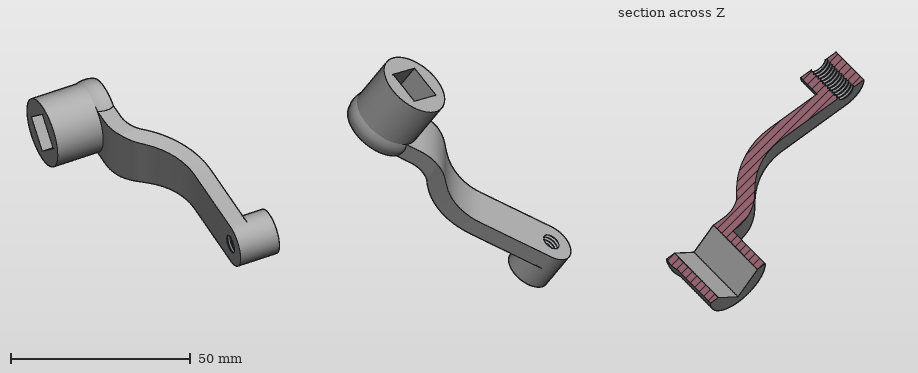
import cadquery as cq
import math

hub_diameter = 20.0
hub_length = 14.0
collar_diameter = 21.0
square_side = 10.0

arm_thickness = 5.0
arm_offset = 14.0
arm_length = 63.0
root_half_width = 7.8
joint_half_width = 8.0
tip_half_width = 6.5

bend_start_x = 11.0
bend_end_x = 39.6
front_root_radius = 15.0
front_tip_radius = 21.0
back_root_radius = front_root_radius - arm_thickness
joint_x = 17.8

boss_diameter = 2 * tip_half_width
boss_length = 12.0
thread_pitch = 1.0
thread_minor_diameter = 5.0
thread_major_diameter = 6.0

collar_back_y = hub_length + arm_thickness
tip_front_y = hub_length + arm_offset
tip_back_y = tip_front_y + arm_thickness
boss_back_y = tip_front_y + boss_length


def make_hub():
    """Plain cylinder with a barrel-shaped collar behind it."""
    hub_radius = hub_diameter / 2
    collar_middle_y = hub_length + arm_thickness / 2
    return (
        cq.Workplane("XY")
        .lineTo(hub_radius, 0)
        .lineTo(hub_radius, hub_length)
        .threePointArc((collar_diameter / 2, collar_middle_y), (hub_radius, collar_back_y))
        .lineTo(0, collar_back_y)
        .close()
        .revolve(360, (0, 0, 0), (0, 1, 0))
    )


def point_on_circle(center, radius, angle):
    """Point at an angle, in radians, measured from the +X direction."""
    return (center[0] + radius * math.cos(angle), center[1] + radius * math.sin(angle))


def make_arm_bend():
    """S-shaped bar of the arm, extruded to the full hub width."""
    root_center = (bend_start_x, hub_length + front_root_radius)
    tip_center = (bend_end_x, tip_front_y - front_tip_radius)

    center_dx = tip_center[0] - root_center[0]
    center_dy = tip_center[1] - root_center[1]
    radius_sum = front_root_radius + front_tip_radius
    center_angle = math.atan2(center_dy, center_dx)
    tangent_angle = center_angle - math.acos(radius_sum / math.hypot(center_dx, center_dy))
    root_tangent = point_on_circle(root_center, front_root_radius, tangent_angle)
    tip_tangent = point_on_circle(tip_center, front_tip_radius, tangent_angle + math.pi)

    joint_dx = joint_x - bend_start_x
    joint_y = root_center[1] - math.sqrt(back_root_radius**2 - joint_dx**2)

    return (
        cq.Workplane("XY")
        .moveTo(0, hub_length)
        .lineTo(bend_start_x, hub_length)
        .tangentArcPoint(root_tangent, relative=False)
        .lineTo(*tip_tangent)
        .tangentArcPoint((bend_end_x, tip_front_y), relative=False)
        .lineTo(arm_length, tip_front_y)
        .lineTo(arm_length, tip_back_y)
        .lineTo(bend_end_x, tip_back_y)
        .tangentArcPoint((joint_x, joint_y), relative=False)
        .radiusArc((bend_start_x, collar_back_y), back_root_radius)
        .lineTo(0, collar_back_y)
        .close()
        .extrude(hub_diameter / 2, both=True)
    )


def make_arm_outline():
    """Block with the XZ outline of the arm: wide at the hub, curving in to the tip."""
    upper_half = (
        cq.Workplane("XZ")
        .moveTo(arm_length, 0)
        .lineTo(arm_length, tip_half_width)
        .lineTo(bend_end_x, tip_half_width)
        .tangentArcPoint((joint_x, joint_half_width), relative=False)
        .lineTo(0, root_half_width)
        .lineTo(0, 0)
        .close()
        .extrude(-boss_back_y)
    )
    return upper_half.union(upper_half.mirror("XY"))


def make_square_hole():
    """Square socket through hub and collar, standing on its corner."""
    return (
        cq.Workplane("XZ")
        .transformed(rotate=(0, 0, 45))
        .rect(square_side, square_side)
        .extrude(-collar_back_y)
    )


def make_threaded_hole():
    """Through hole of the boss, its thread made as a row of V-shaped ring grooves."""
    crest_x = arm_length + thread_minor_diameter / 2
    root_x = arm_length + thread_major_diameter / 2
    groove_count = int(boss_length / thread_pitch)
    profile = cq.Workplane("XY").moveTo(arm_length, tip_front_y).lineTo(crest_x, tip_front_y)
    for groove in range(groove_count):
        groove_y = tip_front_y + groove * thread_pitch
        profile = profile.lineTo(root_x, groove_y + thread_pitch / 2)
        profile = profile.lineTo(crest_x, groove_y + thread_pitch)
    return (
        profile.lineTo(arm_length, boss_back_y)
        .close()
        .revolve(360, (arm_length, 0, 0), (arm_length, 1, 0))
    )


def make_boss():
    """Round boss at the arm tip, rising behind the arm."""
    return (
        cq.Workplane("XZ", origin=(arm_length, tip_front_y, 0))
        .circle(boss_diameter / 2)
        .extrude(-boss_length)
    )


arm = make_arm_bend().intersect(make_arm_outline())

result = (
    make_hub()
    .union(arm)
    .union(make_boss())
    .cut(make_square_hole())
    .cut(make_threaded_hole())
)